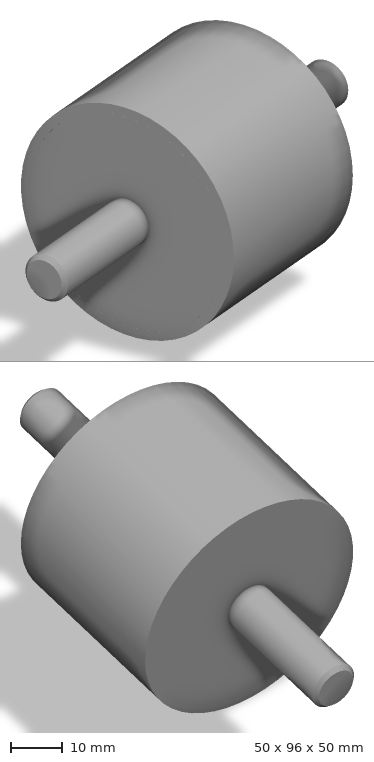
import cadquery as cq

overall_length = 96.0
rubber_diameter = 50.0
rubber_length = 40.0
plate_diameter = 46.0
plate_thickness = 2.0
stud_diameter = 10.0
stud_chamfer = 0.9

rubber_end = rubber_length / 2
plate_inner_face = rubber_end - plate_thickness
stud_length = overall_length / 2 - rubber_end


def cylinder_along_y(diameter, start, length):
    """Cylinder on the Y axis, running from start towards +Y."""
    return cq.Workplane("XZ", origin=(0, start, 0)).circle(diameter / 2).extrude(-length)


def make_rubber():
    """Rubber cylinder with a flush plate recess in each end."""
    rubber = cylinder_along_y(rubber_diameter, -rubber_end, rubber_length)
    for recess_start in (-rubber_end, plate_inner_face):
        rubber = rubber.cut(cylinder_along_y(plate_diameter, recess_start, plate_thickness))
    return rubber


def make_studded_plate():
    """Round plate and its chamfered stud, at the +Y end."""
    plate = cylinder_along_y(plate_diameter, plate_inner_face, plate_thickness)
    stud = cylinder_along_y(stud_diameter, rubber_end, stud_length)
    stud = stud.faces(">Y").chamfer(stud_chamfer)
    return plate.union(stud)


rubber = make_rubber()

studded_plates = []
for turn in (0, 180):
    studded_plates.append(make_studded_plate().rotate((0, 0, 0), (0, 0, 1), turn).val())

plate_solids = [solid for plate in studded_plates for solid in plate.Solids()]

result = cq.Compound.makeCompound([rubber.val(), *plate_solids])